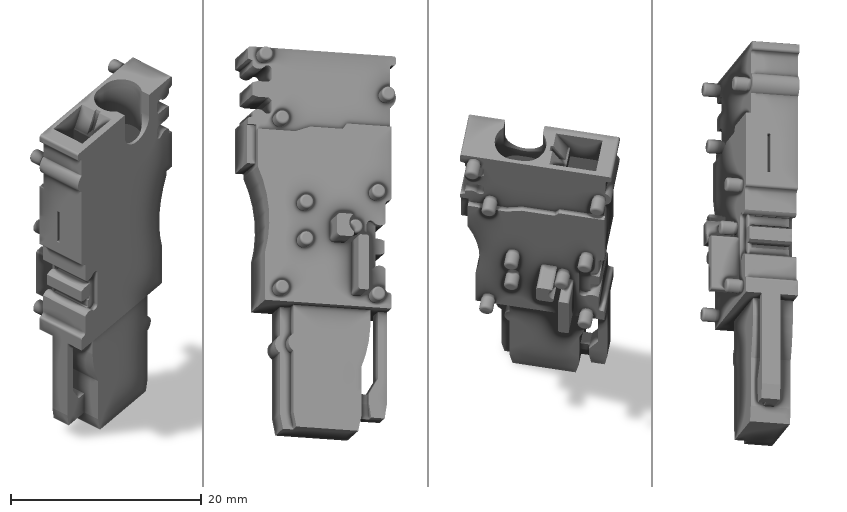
import cadquery as cq
import math


WIDTH = 5.62
STEP = 0.55
COVER_X = WIDTH - STEP

TOP_Z = 27.55
LIP_Y = -0.65
LIP_BOTTOM_Z = 26.55
LIP_EDGE_FILLET = 0.25
FRONT_RECESS = 0.6
FRONT_STEP_Z = 11.7
FOOT_Z = 1.7
STEP_OUTER_RADIUS = 0.25
STEP_INNER_RADIUS = 0.33
BACK_Y = 15.5
CHANNEL_BACK_Y = 15.0
BACK_WALL_Y = 14.6
BACK_EDGE_SLOPE = 0.15
BACK_TOP_LIP_Z = 26.2
BACK_BOTTOM_LIP_Z = 19.8
UPPER_BACK_Z = 19.1
FOOT_BACK_Y = 13.77
WAIST = [(BACK_WALL_Y, 14.45), (13.33, 8.65), (FOOT_BACK_Y, 5.25)]

STEP_LINE = [(0, 19.75), (4.85, 19.75), (5.3, 19.15), (8.85, 19.15), (10.47, 18.55), (BACK_WALL_Y, 18.55)]

CHANNEL_DEPTH = 2.08
CHANNEL_HALF_MOUTH = 2.5
LIP_BULGE = [(0.77, 2.2), (1.25, 2.45)]
POCKET_CORNER = [(1.75, 2.6), (CHANNEL_DEPTH, 2.2)]
CUT_MARGIN = 1.22
TOOTH_HALF = 0.85
TOOTH_TIP_HALF = 0.7
TOOTH_TAPER = 0.55
ROOT_CHAMFER = 0.33
FRONT_CHANNEL_Z = 6.75
BACK_CHANNEL_Z = 23.0
WALL_OVERLAP = 0.4
FRONT_WALL_DEPTH = 0.98
RECESS_X0 = 0.77
RECESS_DEPTH = 0.2
GROOVE_X0 = 1.0
GROOVE_DEPTH = 0.4
GROOVE_HEIGHT = 0.4

BOSS_RADIUS = 1.25
BOSS_CENTRE = (0.6, 23.05)
UPPER_PINS = [(13.98, 26.5), BOSS_CENTRE, (12.2, 19.7)]
HOOK_PIN = (4.3, 8.27)
LOWER_PINS = [(1.85, 12.25), (9.7, 10.6), HOOK_PIN, (9.7, 6.6), (12.35, 1.15), (1.85, 1.15)]
PIN_LENGTH = 1.8
PIN_RADIUS = 0.75
PIN_NECK_RADIUS = 0.65
PIN_NECK_LENGTH = 0.35
PIN_TIP_FILLET = 0.25

BLOCK_LENGTH = 2.97
HOOK_Y = (4.9, 6.75)
HOOK_Z = (6.75, 9.2)
HOOK_FILLET = 0.4
HOOK_CLEARANCE = 1.1
BAR_Y = (3.25, 4.4)
BAR_Z = (1.1, 7.05)
BAR_FILLET = 0.25

BORE_CENTRE = (3.1, 9.5)
BORE_LENGTH = 5.45
BORE_WIDTH = 4.35
BORE_DEPTH = 6.1
MOUTH_WIDTH = 4.2
MOUTH_STRAIGHT = 2.95
ENTRY_X = (1.0, 4.9)
ENTRY_Y = (1.05, 6.05)
ENTRY_DEPTH = 4.08
RAMP_FOOT_Y = 4.73
RAMP_DROP = 2.35
LEDGE = 0.2
FLOOR_BEND_Y = 2.0
FLOOR_DROP = 0.15
SLOT_X = (2.7, 3.3)
SLOT_BACK_Y = 6.3
SLOT_FOOT_Y = 5.62

TAB_DEPTH = BACK_Y - BACK_WALL_Y
FRONT_TAB_X = 2.65
FRONT_TAB_GAP = 0.33
FRONT_TAB_Z = (13.35, 17.6)
BACK_TAB_X = 0.95
BACK_TAB_BOTTOM = 14.95

PLUG_X = (1.22, 5.55)
PLUG_BOTTOM = TOP_Z - 40.75
PLUG_BACK_Y = 11.45
PLUG_SHOULDER_Z = -11.57
PLUG_BEND = [(1.95, -1.87), (2.25, -4.08), (2.95, -6.28)]
BUMP_Z = -4.05
BUMP_HALF = 0.95
BUMP_HEIGHT = 0.55
PLUG_END_TAPER = 0.33
SIDE_STEP_WIDTH = 1.1
SIDE_STEP_DEPTH = 1.3
ARM_X = (1.7, 3.7)
ARM_THICKNESS = 0.98
ARM_BEND_Z = -7.25
ARM_HEAD_TOP = -8.92
ARM_SHOULDER_Z = -10.0
ARM_BOTTOM = -11.55
ARM_HEAD_Y = 1.95
ARM_END_TAPER = 0.25
BRIDGE_X = (2.25, 3.7)
BRIDGE_TAPER_Z = ARM_SHOULDER_Z
BRIDGE_TAPER = 0.33


def box(xs, ys, zs):
    """Box between pairs of X, Y and Z limits."""
    size = [limits[1] - limits[0] for limits in (xs, ys, zs)]
    return cq.Workplane("XY").box(*size, centered=False).translate((xs[0], ys[0], zs[0]))


def side_plane(x):
    """Plane facing +X, whose local axes are Y and Z."""
    return cq.Workplane("YZ", origin=(x, 0, 0))


def round_corner(outline, start, corner, end):
    """Run an outline up to a square corner and round it with a quarter arc from start to end."""
    centre = [s + e - c for s, c, e in zip(start, corner, end)]
    middle = [m + (c - m) * math.sqrt(0.5) for m, c in zip(centre, corner)]
    return outline.lineTo(*start).threePointArc(tuple(middle), end)


def front_step(outline, y0, y1, z):
    """Rounded step in the front face, met going upward: from y0 across to y1 at height z."""
    inward = 1 if y1 > y0 else -1
    r0 = STEP_OUTER_RADIUS
    r1 = STEP_INNER_RADIUS
    if inward < 0:
        r0 = STEP_INNER_RADIUS
        r1 = STEP_OUTER_RADIUS
    outline = round_corner(outline, (y0, z - r0), (y0, z), (y0 + inward * r0, z))
    return round_corner(outline, (y1 - inward * r1, z), (y1, z), (y1, z + r1))


def finish_lower_outline(outline):
    """Close a side outline from the top of the waist down, round the foot and up the front."""
    outline = (
        outline.lineTo(*WAIST[0])
        .threePointArc(WAIST[1], WAIST[2])
        .lineTo(FOOT_BACK_Y, 0)
        .lineTo(0, 0)
    )
    outline = front_step(outline, 0, FRONT_RECESS, FOOT_Z)
    outline = front_step(outline, FRONT_RECESS, 0, FRONT_STEP_Z)
    return outline.close()


def half_channel(x0, x1, mouth_y, inward, centre_z, up):
    """Half of a rail channel, on one side of its tooth; inward and up are +1 or -1."""
    def at(depth, height):
        return (mouth_y + inward * depth, centre_z + up * height)

    outside = -CUT_MARGIN
    return (
        side_plane(x0)
        .moveTo(*at(outside, CHANNEL_HALF_MOUTH))
        .lineTo(*at(0, CHANNEL_HALF_MOUTH))
        .threePointArc(at(*LIP_BULGE[0]), at(*LIP_BULGE[1]))
        .threePointArc(at(*POCKET_CORNER[0]), at(*POCKET_CORNER[1]))
        .lineTo(*at(CHANNEL_DEPTH, TOOTH_HALF + ROOT_CHAMFER))
        .lineTo(*at(CHANNEL_DEPTH - ROOT_CHAMFER, TOOTH_HALF))
        .lineTo(*at(TOOTH_TAPER, TOOTH_HALF))
        .lineTo(*at(0, TOOTH_TIP_HALF))
        .lineTo(*at(outside, TOOTH_TIP_HALF))
        .close()
        .extrude(x1 - x0)
    )


def lower_plate(x0, x1):
    """Plate below the step line, with the front rail channel left open."""
    outline = side_plane(x0).polyline(STEP_LINE)
    plate = finish_lower_outline(outline).extrude(x1 - x0)
    for up in (1, -1):
        plate = plate.cut(half_channel(x0, x1, FRONT_RECESS, 1, FRONT_CHANNEL_Z, up))
    tooth_zone = TOOTH_HALF + ROOT_CHAMFER
    tooth_z = (FRONT_CHANNEL_Z - tooth_zone, FRONT_CHANNEL_Z + tooth_zone)
    return plate.cut(box((x0, x1), (0, FRONT_RECESS + CHANNEL_DEPTH), tooth_z))


def core():
    """Housing between the stepped-back pin-side face and the cover-side face, without openings."""
    start = side_plane(STEP).moveTo(0, FRONT_STEP_Z + STEP_OUTER_RADIUS)
    outline = front_step(start, 0, LIP_Y, LIP_BOTTOM_Z)
    r = LIP_EDGE_FILLET
    outline = round_corner(outline, (LIP_Y, TOP_Z - r), (LIP_Y, TOP_Z), (LIP_Y + r, TOP_Z))
    outline = round_corner(outline, (BACK_Y - r, TOP_Z), (BACK_Y, TOP_Z), (BACK_Y, TOP_Z - r))
    outline = (
        outline
        .lineTo(BACK_Y, BACK_TOP_LIP_Z)
        .lineTo(CHANNEL_BACK_Y, BACK_TOP_LIP_Z - BACK_EDGE_SLOPE)
        .lineTo(CHANNEL_BACK_Y, BACK_BOTTOM_LIP_Z + BACK_EDGE_SLOPE)
        .lineTo(BACK_Y, BACK_BOTTOM_LIP_Z)
        .lineTo(BACK_Y, UPPER_BACK_Z)
        .lineTo(BACK_WALL_Y, UPPER_BACK_Z)
    )
    body = finish_lower_outline(outline).extrude(WIDTH - STEP)
    body = body.union(side_plane(STEP).center(*BOSS_CENTRE).circle(BOSS_RADIUS).extrude(WIDTH - STEP))
    for up in (1, -1):
        body = body.cut(half_channel(STEP, WIDTH, FRONT_RECESS, 1, FRONT_CHANNEL_Z, up))
        body = body.cut(half_channel(STEP, WIDTH, CHANNEL_BACK_Y, -1, BACK_CHANNEL_Z, up))

    wall_y = FRONT_RECESS + FRONT_WALL_DEPTH
    wall_end_y = FRONT_RECESS + CHANNEL_DEPTH
    wall_half = CHANNEL_HALF_MOUTH + WALL_OVERLAP
    wall_z = (FRONT_CHANNEL_Z - wall_half, FRONT_CHANNEL_Z + wall_half)
    body = body.union(box((STEP, WIDTH), (wall_y, wall_end_y), wall_z))
    for up in (1, -1):
        root_z = FRONT_CHANNEL_Z + up * TOOTH_HALF
        recess_z = sorted((root_z, FRONT_CHANNEL_Z + up * LIP_BULGE[0][1]))
        groove_z = sorted((root_z, root_z + up * GROOVE_HEIGHT))
        body = body.cut(box((RECESS_X0, COVER_X), (wall_y, wall_y + RECESS_DEPTH), recess_z))
        body = body.cut(box((GROOVE_X0, COVER_X), (wall_y, wall_y + GROOVE_DEPTH), groove_z))
    return body


def cover_seat():
    """Space taken from the core for the cover plate and its front tab."""
    outline = (
        side_plane(COVER_X)
        .polyline(STEP_LINE)
        .lineTo(BACK_WALL_Y, 0)
        .lineTo(0, 0)
        .close()
    )
    notch = box((FRONT_TAB_X - FRONT_TAB_GAP, COVER_X), (0, TAB_DEPTH), FRONT_TAB_Z)
    return outline.extrude(STEP).union(notch)


def wire_bore():
    """Long round-ended bore, open to the cover side through a U-shaped mouth."""
    x, y = BORE_CENTRE
    bottom = TOP_Z - BORE_DEPTH
    bore_plane = cq.Workplane("XY", origin=(x, y, bottom))
    bore = bore_plane.slot2D(BORE_LENGTH, BORE_WIDTH, 90).extrude(BORE_DEPTH)
    radius = MOUTH_WIDTH / 2
    arc_z = TOP_Z - MOUTH_STRAIGHT
    mouth = (
        side_plane(x)
        .moveTo(y - radius, TOP_Z)
        .lineTo(y - radius, arc_z)
        .threePointArc((y, arc_z - radius), (y + radius, arc_z))
        .lineTo(y + radius, TOP_Z)
        .close()
        .extrude(WIDTH - x)
    )
    return bore.union(mouth)


def driver_entry():
    """Rectangular top pocket with a ramped back wall and a narrow slot in the ramp."""
    floor_z = TOP_Z - ENTRY_DEPTH
    ramp_z = TOP_Z - RAMP_DROP
    bend_mid = ((FLOOR_BEND_Y + ENTRY_Y[0]) / 2, floor_z - FLOOR_DROP / 4)
    pocket = (
        side_plane(ENTRY_X[0])
        .moveTo(ENTRY_Y[0], TOP_Z)
        .lineTo(ENTRY_Y[1], TOP_Z)
        .lineTo(RAMP_FOOT_Y, ramp_z)
        .lineTo(RAMP_FOOT_Y - LEDGE, ramp_z)
        .lineTo(RAMP_FOOT_Y - LEDGE, floor_z)
        .lineTo(FLOOR_BEND_Y, floor_z)
        .threePointArc(bend_mid, (ENTRY_Y[0], floor_z - FLOOR_DROP))
        .close()
        .extrude(ENTRY_X[1] - ENTRY_X[0])
    )
    slot = (
        side_plane(SLOT_X[0])
        .moveTo(RAMP_FOOT_Y - LEDGE, TOP_Z)
        .lineTo(SLOT_BACK_Y, TOP_Z)
        .lineTo(SLOT_FOOT_Y, ramp_z)
        .lineTo(RAMP_FOOT_Y - LEDGE, ramp_z)
        .close()
        .extrude(SLOT_X[1] - SLOT_X[0])
    )
    return pocket.union(slot)


def pin(base_x, centre):
    """Necked snap pin with a rounded tip, pointing to -X from a side face."""
    y, z = centre
    return (
        cq.Workplane("XZ", origin=(base_x, y, z))
        .polyline([
            (0, 0),
            (0, PIN_NECK_RADIUS),
            (-PIN_NECK_LENGTH, PIN_NECK_RADIUS),
            (-PIN_NECK_LENGTH, PIN_RADIUS),
            (-PIN_LENGTH, PIN_RADIUS),
            (-PIN_LENGTH, 0),
        ])
        .close()
        .revolve(360, (0, 0, 0), (1, 0, 0))
        .faces("<X")
        .edges()
        .fillet(PIN_TIP_FILLET)
    )


def hook_and_bar():
    """Two blocks on the pin-side face: a hook hollowed around a pin, and a rounded bar."""
    hook = box((-BLOCK_LENGTH, 0), HOOK_Y, HOOK_Z).edges("|X").fillet(HOOK_FILLET)
    clearance = side_plane(-BLOCK_LENGTH).center(*HOOK_PIN).circle(HOOK_CLEARANCE).extrude(BLOCK_LENGTH)
    bar = box((-BLOCK_LENGTH, 0), BAR_Y, BAR_Z).edges("|X").fillet(BAR_FILLET)
    return hook.cut(clearance).union(bar)


def plug_profile(x, back_y):
    """Plug outline on a side plane, with its locking bump at the given back."""
    return (
        side_plane(x)
        .moveTo(PLUG_BEND[0][0], 0)
        .lineTo(*PLUG_BEND[0])
        .threePointArc(PLUG_BEND[1], PLUG_BEND[2])
        .lineTo(PLUG_BEND[2][0], PLUG_SHOULDER_Z)
        .lineTo(PLUG_BEND[2][0] + PLUG_END_TAPER, PLUG_BOTTOM)
        .lineTo(back_y - PLUG_END_TAPER, PLUG_BOTTOM)
        .lineTo(back_y, PLUG_SHOULDER_Z)
        .lineTo(back_y, BUMP_Z - BUMP_HALF)
        .threePointArc((back_y + BUMP_HEIGHT, BUMP_Z), (back_y, BUMP_Z + BUMP_HALF))
        .lineTo(back_y, 0)
        .close()
    )


def plug():
    """Plug under the housing, stepped along its back, with a latch arm at the front."""
    step_x = PLUG_X[0] + SIDE_STEP_DEPTH
    body = plug_profile(PLUG_X[0], PLUG_BACK_Y - SIDE_STEP_WIDTH).extrude(SIDE_STEP_DEPTH)
    body = body.union(plug_profile(step_x, PLUG_BACK_Y).extrude(PLUG_X[1] - step_x))
    arm = (
        side_plane(ARM_X[0])
        .polyline([
            (0, 0),
            (ARM_THICKNESS, 0),
            (ARM_THICKNESS, ARM_BEND_Z),
            (ARM_HEAD_Y, ARM_HEAD_TOP),
            (ARM_HEAD_Y, ARM_SHOULDER_Z),
            (ARM_HEAD_Y - ARM_END_TAPER, ARM_BOTTOM),
            (ARM_END_TAPER, ARM_BOTTOM),
            (0, ARM_SHOULDER_Z),
        ])
        .close()
        .extrude(ARM_X[1] - ARM_X[0])
    )
    bridge_y = (ARM_HEAD_Y - ARM_END_TAPER, PLUG_BEND[2][0])
    bridge = (
        cq.Workplane("XZ", origin=(0, bridge_y[1], 0))
        .polyline([
            (BRIDGE_X[0], ARM_HEAD_TOP),
            (BRIDGE_X[1], ARM_HEAD_TOP),
            (BRIDGE_X[1], ARM_BOTTOM),
            (BRIDGE_X[0] + BRIDGE_TAPER, ARM_BOTTOM),
            (BRIDGE_X[0], BRIDGE_TAPER_Z),
        ])
        .close()
        .extrude(bridge_y[1] - bridge_y[0])
    )
    return body.union(arm).union(bridge)


def make_housing():
    housing = core().cut(cover_seat()).cut(wire_bore()).cut(driver_entry())
    housing = housing.union(lower_plate(0, STEP)).union(plug()).union(hook_and_bar())
    for centre in UPPER_PINS:
        housing = housing.union(pin(STEP, centre))
    for centre in LOWER_PINS:
        housing = housing.union(pin(0, centre))
    return housing


def make_cover():
    """Cover plate with a tab wrapping the front and another along the back."""
    front_tab = box((FRONT_TAB_X, WIDTH), (0, TAB_DEPTH), FRONT_TAB_Z)
    back_tab = box((BACK_TAB_X, WIDTH), (BACK_WALL_Y, BACK_Y), (BACK_TAB_BOTTOM, UPPER_BACK_Z))
    return lower_plate(COVER_X, WIDTH).union(front_tab).union(back_tab)


housing = make_housing()
cover = make_cover()

result = cq.Compound.makeCompound([housing.solids().val(), cover.solids().val()])